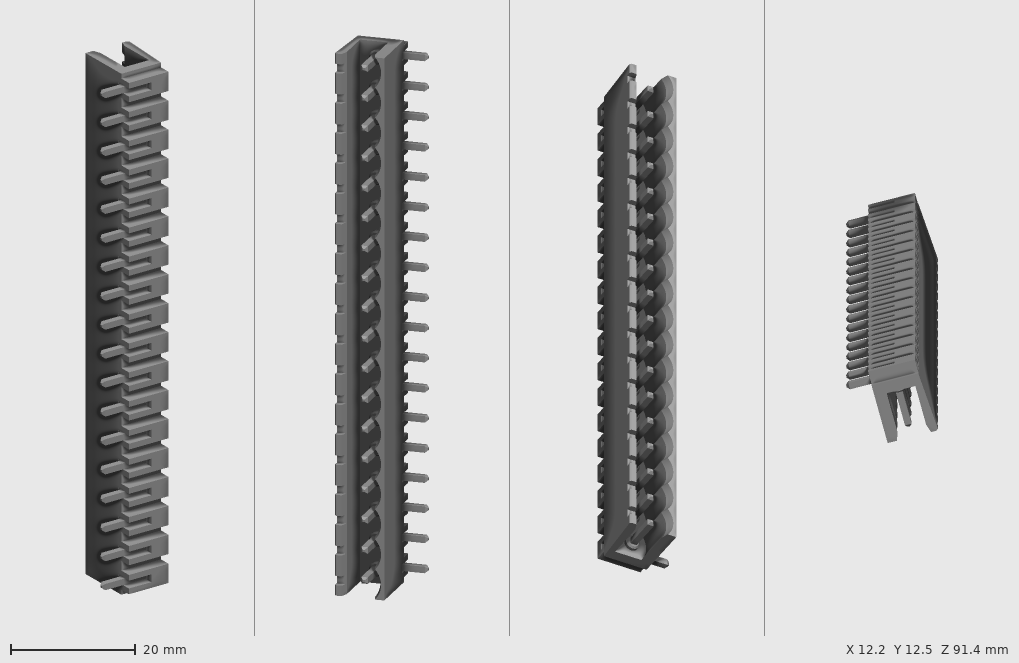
import cadquery as cq

length = 91.4
pin_count = 18
pitch = length / pin_count
half_pitch = pitch / 2
pin_levels = [(i + 0.5) * pitch for i in range(pin_count)]

depth = 12.2
wall_front = 8.1
wall_back = 10.1
back_height = 7.8
mouth_height = 8.4
mouth_chamfer = 0.3
channel_top = 6.8
lead_in = 1.4
lead_in_rise = 0.5

crest = 2.0
valley = 1.1
mouth_crest = 1.6
mouth_valley = 0.55

notch_depth = 1.1
notch_width = 1.6

tooth_width = 3.4
slot_width = 1.4
slot_front = 9.1
slot_back = 11.1

pin_size = 1.1
pin_axis_y = 3.8
pin_axis_x = 10.2
pin_front = 1.1
pin_bottom = -4.1
tip_length = 0.5
tip_size = 0.4
collar_radius = 1.23
collar_length = 0.8
collar_chamfer = 0.3


def block(x0, x1, y0, y1, z0, z1):
    """Axis-aligned box between two corners."""
    return cq.Workplane("XY").box(x1 - x0, y1 - y0, z1 - z0, centered=False).translate((x0, y0, z0))


def make_housing():
    """U-shaped channel with a sloping upper arm; the lower arm is solid up to its crests."""
    return (
        cq.Workplane("XY")
        .moveTo(0, 0)
        .lineTo(wall_back, 0)
        .lineTo(wall_back, back_height)
        .lineTo(mouth_chamfer, mouth_height)
        .lineTo(0, mouth_height - mouth_chamfer)
        .lineTo(0, channel_top + lead_in_rise)
        .lineTo(lead_in, channel_top)
        .lineTo(wall_front, channel_top)
        .lineTo(wall_front, crest)
        .lineTo(0, crest)
        .close()
        .extrude(length)
    )


def scallop_profile(workplane, crest_y, valley_y):
    """Region of the channel above a row of valleys, one valley per pin."""
    outline = workplane.moveTo(crest_y, 0)
    for z in pin_levels:
        outline = outline.threePointArc((valley_y, z), (crest_y, z + half_pitch))
    return outline.lineTo(pin_axis_y, length).lineTo(pin_axis_y, 0).close()


def make_scallops():
    """Cutter for all valleys of the lower arm, flared towards the mouth."""
    straight = scallop_profile(cq.Workplane("YZ"), crest, valley).extrude(wall_front)
    mouth = scallop_profile(cq.Workplane("YZ"), mouth_crest, mouth_valley)
    flare = scallop_profile(mouth.workplane(offset=lead_in), crest, valley).loft(ruled=True)
    return straight.union(flare)


def make_notch():
    """Cutter for one notch in the mouth edge of the upper arm."""
    half = notch_width / 2
    return block(0, notch_depth, channel_top, mouth_height, -half, half)


def make_tooth():
    """Tooth on the back of the wall."""
    half = tooth_width / 2
    return block(wall_back, depth, 0, back_height, -half, half)


def make_slot():
    """Cutter for the pin slot: a through channel that opens to the back below the pin's top."""
    half = slot_width / 2
    channel = block(slot_front, slot_back, 0, back_height, -half, half)
    back_opening = block(slot_back, depth, 0, pin_axis_y + pin_size / 2, -half, half)
    return channel.union(back_opening)


def make_leg(origin, direction, reach):
    """Square bar of the given reach from the origin, ending in a tapered tip."""
    plane = cq.Plane(origin=origin, xDir=(0, 0, 1), normal=direction)
    shank = reach - tip_length
    bar = cq.Workplane(plane).rect(pin_size, pin_size).extrude(shank)
    tip = (
        cq.Workplane(plane)
        .workplane(offset=shank)
        .rect(pin_size, pin_size)
        .workplane(offset=tip_length)
        .rect(tip_size, tip_size)
        .loft(ruled=True)
    )
    return bar.union(tip)


def make_pin():
    """Right-angle pin with a chamfered collar where it leaves the wall."""
    half = pin_size / 2
    corner_x = pin_axis_x + half
    corner_y = pin_axis_y + half
    contact = make_leg((corner_x, pin_axis_y, 0), (-1, 0, 0), corner_x - pin_front)
    tail = make_leg((pin_axis_x, corner_y, 0), (0, -1, 0), corner_y - pin_bottom)
    collar = (
        cq.Workplane("YZ", origin=(wall_front, pin_axis_y, 0))
        .circle(collar_radius)
        .extrude(-collar_length)
        .faces("<X")
        .chamfer(collar_chamfer)
    )
    return contact.union(tail).union(collar)


def at_every_pin(shape):
    """Copies of a shape at all pin levels, as one workplane."""
    copies = [shape.val().moved(cq.Location(cq.Vector(0, 0, z))) for z in pin_levels]
    return cq.Workplane("XY").newObject([cq.Compound.makeCompound(copies)])


result = make_housing()
result = result.cut(make_scallops())
result = result.cut(at_every_pin(make_notch()))
result = result.union(at_every_pin(make_tooth()))
result = result.cut(at_every_pin(make_slot()))
result = result.union(at_every_pin(make_pin()))